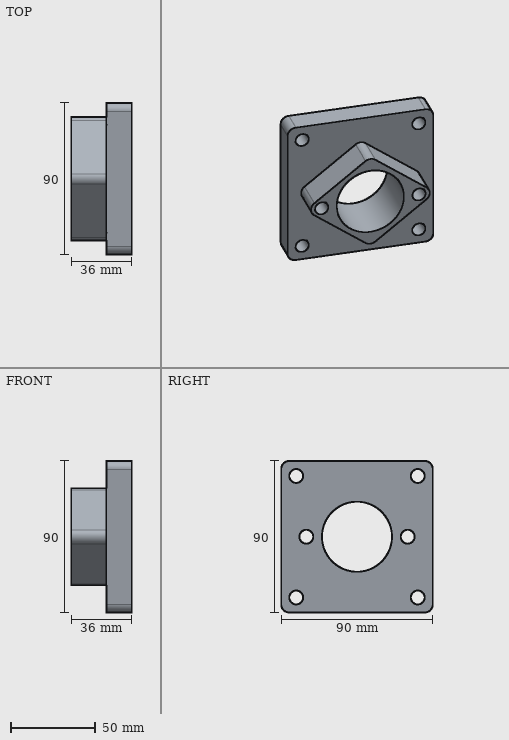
import cadquery as cq

plate_side = 90.0
plate_thickness = 15.0
plate_corner_radius = 5.0
plate_hole_spacing = 72.0

total_depth = 36.0
boss_height = total_depth - plate_thickness
boss_width = 73.3
boss_tall = 57.6
boss_tip_radius = 5.0
boss_hole_spacing = 60.0

bolt_hole_diameter = 8.1
bore_diameter = 41.4


def make_plate():
    """Square plate with rounded corners, its -X face at X = 0."""
    return (
        cq.Workplane("YZ")
        .rect(plate_side, plate_side)
        .extrude(plate_thickness)
        .edges("|X")
        .fillet(plate_corner_radius)
    )


def make_boss():
    """Diamond whose tips are arcs centred on the corners of an inner rhombus."""
    half_width = boss_width / 2 - boss_tip_radius
    half_tall = boss_tall / 2 - boss_tip_radius
    tip_centres = [(half_width, 0), (0, half_tall), (-half_width, 0), (0, -half_tall)]
    return (
        cq.Workplane("YZ")
        .polyline(tip_centres)
        .close()
        .offset2D(boss_tip_radius, "arc")
        .extrude(-boss_height)
    )


def make_through_cylinders(diameter, centres):
    """Cutting cylinders along X, spanning the full depth of the part."""
    return (
        cq.Workplane("YZ", origin=(-boss_height, 0, 0))
        .pushPoints(centres)
        .circle(diameter / 2)
        .extrude(total_depth)
    )


plate_hole_offset = plate_hole_spacing / 2
boss_hole_offset = boss_hole_spacing / 2
plate_hole_centres = [
    (side * plate_hole_offset, level * plate_hole_offset)
    for side in (-1, 1)
    for level in (-1, 1)
]
boss_hole_centres = [(-boss_hole_offset, 0), (boss_hole_offset, 0)]

result = (
    make_plate()
    .union(make_boss())
    .cut(make_through_cylinders(bolt_hole_diameter, plate_hole_centres + boss_hole_centres))
    .cut(make_through_cylinders(bore_diameter, [(0, 0)]))
)